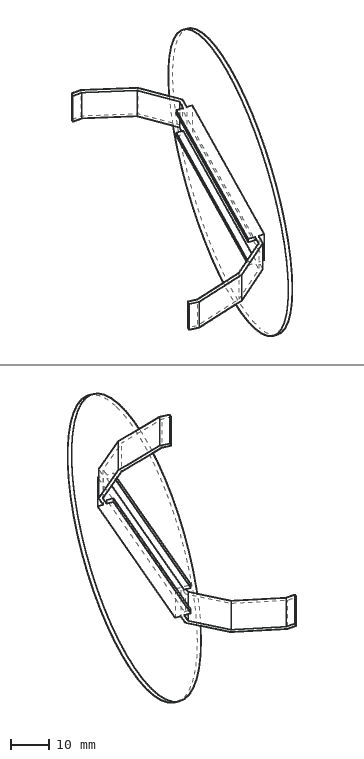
import cadquery as cq
import math

disc_diameter = 84.0
disc_thickness = 1.2
total_depth = 29.0

holder_length = 50.2
holder_height = 9.9
holder_depth = 5.7
lip_height = 1.3

strap_thickness = 1.0
strap_back_depth = 2.8
strap_front_depth = strap_back_depth + strap_thickness

shoulder_bend = (28.05, strap_back_depth)
knee_bend = (36.45, 12.1)
toe_bend = (41.3, 26.2)
arm_tip = (41.1, total_depth)


def box_between_depths(length, height, near, far):
    """Box centred on X and Z, spanning two depths below the outer face."""
    return cq.Workplane("XY").box(length, far - near, height).translate((0, -(near + far) / 2, 0))


def inner_bend(before, bend, after):
    """Mitred point on the inner side of the strap, opposite an outer bend."""
    heading_in = math.atan2(bend[1] - before[1], bend[0] - before[0])
    heading_out = math.atan2(after[1] - bend[1], after[0] - bend[0])
    normal = (heading_in + heading_out + math.pi) / 2
    reach = strap_thickness / math.cos((heading_out - heading_in) / 2)
    return (bend[0] + reach * math.cos(normal), bend[1] + reach * math.sin(normal))


def spring_arm():
    """Right-hand arm of the bent strap, starting inside the holder."""
    root = (holder_length / 2 - strap_thickness, strap_back_depth)
    outer = [root, shoulder_bend, knee_bend, toe_bend, arm_tip]
    inner = [inner_bend(*outer[i - 1:i + 2]) for i in range(1, len(outer) - 1)]
    inner_root = (root[0], strap_front_depth)
    inner_tip = (arm_tip[0] - strap_thickness, total_depth)
    profile = outer + [inner_tip] + inner[::-1] + [inner_root]
    return (
        cq.Workplane("XY")
        .polyline([(x, -depth) for x, depth in profile])
        .close()
        .extrude(holder_height / 2, both=True)
    )


disc = cq.Workplane("XZ").circle(disc_diameter / 2).extrude(disc_thickness)

channel_height = holder_height - 2 * lip_height
holder = box_between_depths(holder_length, holder_height, disc_thickness, holder_depth)
channel = box_between_depths(holder_length, channel_height, strap_front_depth, holder_depth)

right_arm = spring_arm()
left_arm = right_arm.mirror("YZ")

result = disc.union(holder.cut(channel)).union(right_arm).union(left_arm)